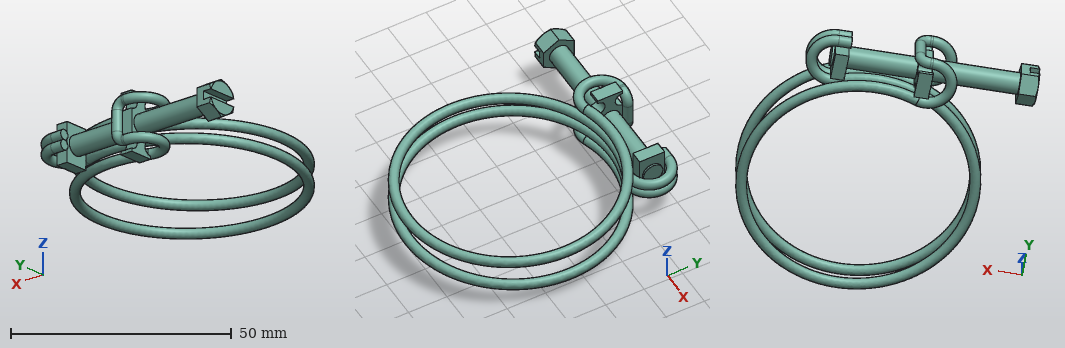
import cadquery as cq
import math


wire_d = 2.5
wire_r = wire_d / 2
loop_r = 26.5
hook_r = 5.2
hook_top_y = 35.0
outer_hook_z = 4.9
inner_hook_z = wire_r
free_end_length = 3.0
elbow_r = 2.25
elbow_stub = 0.5

hook_y = hook_top_y - hook_r
hook_x = math.sqrt((loop_r + hook_r) ** 2 - hook_y ** 2)
hook_lean = math.degrees(math.atan2(hook_x, hook_y))
hook_turn = 180 + hook_lean

screw_y = 30.4
shaft_d = 5.0
head_flats = 8.0
head_corners = head_flats / math.cos(math.radians(30))
head_left_x = -35.61
head_length = 4.2
head_chamfer_angle = 30
slot_width = 2.0
slot_depth = 2.2
screw_end_x = 11.75

block_width = 6.5
bridge_length = 3.3
bridge_x = -9.6
bridge_height = 15.0
nut_length = 3.1
nut_x = 9.7
nut_height = 10.0
groove_r = 1.8
groove_inset = 0.1


def wire_along_x(start_x, length, z):
    """Straight wire at the top of a hook, running toward +X."""
    plane = cq.Workplane("YZ", origin=(start_x, hook_top_y, z))
    return plane.circle(wire_r).extrude(length)


def hook(side, z):
    """Hook from its topmost point round to the loop; side is -1 for left, +1 for right."""
    plane = cq.Workplane("YZ", origin=(side * hook_x, hook_top_y, z))
    return plane.circle(wire_r).revolve(hook_turn, (-hook_r, 0, 0), (-hook_r, -side, 0))


def upper_loop():
    """One helical turn and a bit, from the right hook up to the left hook."""
    turn = 360 + 2 * hook_lean
    rise = outer_hook_z - inner_hook_z
    path = cq.Wire.makeHelix(rise * 360 / turn, rise, loop_r)
    turns = cq.Workplane("XZ", origin=(loop_r, 0, 0)).circle(wire_r).sweep(path, isFrenet=True)
    turns = turns.rotate((0, 0, 0), (0, 0, 1), 90 - hook_lean)
    return turns.translate((0, 0, inner_hook_z))


def upper_band():
    """Upper wire: free end, inner right hook and loop."""
    free_end = wire_along_x(hook_x - free_end_length, free_end_length, inner_hook_z)
    return upper_loop().union(hook(1, inner_hook_z)).union(free_end)


def yoke_half():
    """Upper left hook, its elbow and half of the crossbar."""
    elbow_x = -hook_x + elbow_stub
    crossbar_x = elbow_x + elbow_r
    crossbar_half = outer_hook_z - elbow_r
    stub = wire_along_x(-hook_x, elbow_stub, outer_hook_z)
    elbow = (
        cq.Workplane("YZ", origin=(elbow_x, hook_top_y, outer_hook_z))
        .circle(wire_r)
        .revolve(90, (0, -elbow_r, 0), (1, -elbow_r, 0))
    )
    crossbar = (
        cq.Workplane("XY", origin=(crossbar_x, hook_top_y, 0))
        .circle(wire_r)
        .extrude(crossbar_half)
    )
    return hook(-1, outer_hook_z).union(stub).union(elbow).union(crossbar)


def make_yoke():
    """Left wire piece: both outer hooks and the crossbar between them."""
    half = yoke_half()
    return half.union(half.mirror("XY"))


def make_screw():
    """Slotted hexagon-head screw along X."""
    head = (
        cq.Workplane("YZ", origin=(head_left_x, screw_y, 0))
        .polygon(6, head_corners)
        .extrude(head_length)
        .rotate((0, screw_y, 0), (1, screw_y, 0), 90)
    )
    cone_run = (head_corners - head_flats / 2) * math.tan(math.radians(head_chamfer_angle))
    corner_envelope = (
        cq.Workplane("XY", origin=(head_left_x, screw_y, 0))
        .moveTo(0, 0)
        .lineTo(0, head_flats / 2)
        .lineTo(cone_run, head_corners)
        .lineTo(head_length, head_corners)
        .lineTo(head_length, 0)
        .close()
        .revolve(360, (0, 0, 0), (1, 0, 0))
    )
    slot = cq.Workplane("XY").box(2 * slot_depth, 2 * head_corners, slot_width)
    slot = slot.translate((head_left_x, screw_y, 0))
    shaft_x = head_left_x + head_length
    shaft = (
        cq.Workplane("YZ", origin=(shaft_x, screw_y, 0))
        .circle(shaft_d / 2)
        .extrude(screw_end_x - shaft_x)
    )
    return head.intersect(corner_envelope).cut(slot).union(shaft)


def drilled_block(x, length, height):
    """Rectangular block centred on the screw axis with a hole for the shaft."""
    block = cq.Workplane("XY").box(length, block_width, height)
    hole = cq.Workplane("YZ").circle(shaft_d / 2).extrude(length, both=True)
    return block.cut(hole).translate((x, screw_y, 0))


def make_bridge():
    """Tall block with a wire groove at each hook height on both long sides."""
    grooves = (
        cq.Workplane("YZ", origin=(bridge_x, screw_y, 0))
        .rect(block_width - 2 * groove_inset, 2 * outer_hook_z, forConstruction=True)
        .vertices()
        .circle(groove_r)
        .extrude(bridge_length, both=True)
    )
    return drilled_block(bridge_x, bridge_length, bridge_height).cut(grooves)


screw = make_screw()
bridge = make_bridge()
nut = drilled_block(nut_x, nut_length, nut_height)
yoke = make_yoke()
top_band = upper_band()
bands = [top_band, top_band.mirror("XY")]

result = cq.Compound.makeCompound(
    [screw.val(), bridge.val(), nut.val(), yoke.val(), *[band.val() for band in bands]]
)